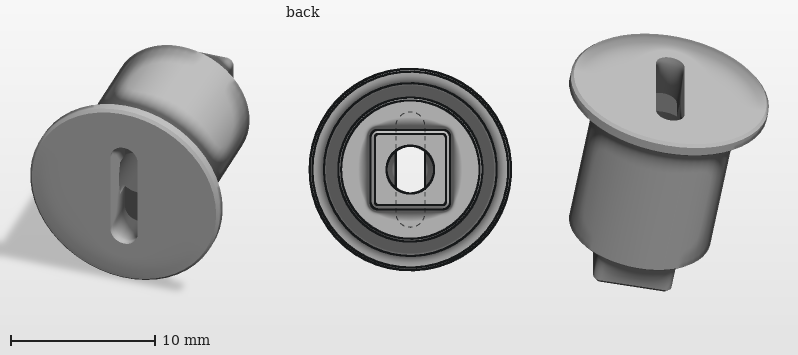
import cadquery as cq
import math

total_length = 15.0
flange_diameter = 14.0
flange_thickness = 1.0
shoulder_diameter = 12.0
shoulder_end = 1.5
body_diameter = 10.0
body_end = 12.0
edge_chamfer = 0.2

drive_width = 5.52
drive_corner_radius = 0.51
drive_tip_chamfer = 0.3

slot_length = 8.01
slot_width = 2.01
slot_depth = 3.0
bore_diameter = 3.3
bore_start = 2.01
bore_tip_angle = 135.0


def disc(diameter, start, end):
    """Cylinder along Y between two positions."""
    plane = cq.Workplane("XZ", origin=(0, start, 0))
    return plane.circle(diameter / 2).extrude(start - end)


def make_drive():
    """Square drive with rounded corners and a chamfered tip."""
    block = (
        cq.Workplane("XZ", origin=(0, body_end, 0))
        .rect(drive_width, drive_width)
        .extrude(body_end - total_length)
    )
    return block.edges("|Y").fillet(drive_corner_radius).faces(">Y").chamfer(drive_tip_chamfer)


def make_slot():
    """Upright round-ended key slot, open at the flange face."""
    return cq.Workplane("XZ").slot2D(slot_length, slot_width, 90).extrude(-slot_depth)


def make_bore():
    """Bore drilled from the drive end, with a conical tip that breaks into the slot."""
    radius = bore_diameter / 2
    tip_length = radius / math.tan(math.radians(bore_tip_angle / 2))
    profile = (
        cq.Workplane("XY")
        .moveTo(0, bore_start - tip_length)
        .lineTo(radius, bore_start)
        .lineTo(radius, total_length)
        .lineTo(0, total_length)
        .close()
    )
    return profile.revolve(360, (0, 0, 0), (0, 1, 0))


flange = disc(flange_diameter, 0, flange_thickness).faces("<Y or >Y").chamfer(edge_chamfer)
shoulder = disc(shoulder_diameter, flange_thickness, shoulder_end)
body = disc(body_diameter, shoulder_end, body_end).faces(">Y").chamfer(edge_chamfer)
bore = make_bore()

solid = flange.union(shoulder).union(body).union(make_drive())
solid = solid.cut(make_slot()).cut(bore)

result = solid.translate((0, -total_length / 2, 0))